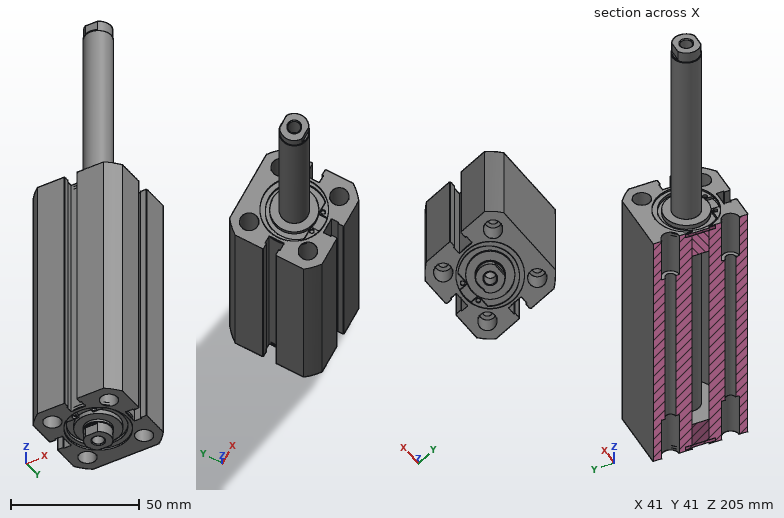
import cadquery as cq
import math

width = 41.0
housing_length = 113.0
corner_radius = 25.5
bore_radius = 13.4

hole_spacing = 26.0
hole_radius = 2.2
counterbore_radius = 3.75
counterbore_depth = 20.0

slot_mouth_width = 5.5
slot_chamfer = 0.3
slot_inner_width = 6.6
slot_lip = 2.7
groove_radius = 14.4
side_slot_floor = 14.5
front_slot_floor = 14.7

groove_offset = 0.8
ring_thickness = 1.2
ring_inner_radius = 12.05
ring_inner_shift = 0.85
lug_edge = 9.1
opening_width = 6.5
lug_hole_x = 4.6
lug_hole_y = 10.3
lug_hole_radius = 0.9

cover_thickness = 13.0
boss_radius = 9.6

rod_radius = 6.0
lower_reach = 6.0
upper_reach = 86.0
neck_radius = 5.75
neck_length = 4.7
flats_length = 4.2
flats_width = 10.0
tapped_radius = 2.5
countersink_radius = 2.9
tapped_depth = 12.0
drill_tip_angle = 118.0

cover_seat = groove_offset + ring_thickness
rod_length = lower_reach + housing_length + upper_reach


def disc(radius, base, height):
    return cq.Workplane("XY").workplane(offset=base).circle(radius).extrude(height)


def other_end(body, length):
    """The mirror image of a feature or body, at the far end of a part that starts at Z = 0."""
    return body.mirror("XY").translate((0, 0, length))


def slot(floor):
    """Cutter for a full-length slot open toward -Y, with a lip on each side of its mouth."""
    edge = -width / 2
    lip_end = edge + slot_lip
    mouth = slot_mouth_width / 2
    inner = slot_inner_width / 2
    half_profile = [
        (0, edge),
        (mouth + slot_chamfer, edge),
        (mouth, edge + slot_chamfer),
        (mouth, lip_end),
        (inner, lip_end),
        (inner, -floor),
        (0, -floor),
    ]
    return cq.Workplane("XY").polyline(half_profile).mirrorY().extrude(housing_length)


def make_housing():
    body = cq.Workplane("XY").rect(width, width).extrude(housing_length)
    body = body.intersect(disc(corner_radius, 0, housing_length))
    body = body.cut(disc(bore_radius, 0, housing_length))

    groove = disc(groove_radius, groove_offset, ring_thickness)
    body = body.cut(groove).cut(other_end(groove, housing_length))

    body = body.cut(slot(front_slot_floor))
    for angle in (-90, 90):
        body = body.cut(slot(side_slot_floor).rotate((0, 0, 0), (0, 0, 1), angle))

    hole_centres = cq.Workplane("XY").rect(hole_spacing, hole_spacing, forConstruction=True).vertices()
    body = body.cut(hole_centres.circle(hole_radius).extrude(housing_length))
    counterbores = hole_centres.circle(counterbore_radius).extrude(counterbore_depth)
    return body.cut(counterbores).cut(other_end(counterbores, housing_length))


def make_cover():
    """A disc behind the retaining ring, with a boss flush with the end face of the housing."""
    body = disc(bore_radius, cover_seat, cover_thickness - cover_seat)
    body = body.union(disc(boss_radius, 0, cover_seat))
    return body.cut(disc(rod_radius, 0, cover_thickness))


def make_ring():
    """An internal retaining ring with its opening and lugs toward -Y."""
    opening_inside = disc(ring_inner_radius, groove_offset, ring_thickness).translate((0, -ring_inner_shift, 0))
    above_lugs = (
        cq.Workplane("XY", origin=(0, -lug_edge, groove_offset))
        .box(width, width, ring_thickness, centered=(True, False, False))
    )
    gap = (
        cq.Workplane("XY", origin=(0, -width, groove_offset))
        .box(opening_width, width, ring_thickness, centered=(True, False, False))
    )
    body = disc(groove_radius, groove_offset, ring_thickness)
    body = body.cut(opening_inside.intersect(above_lugs))
    body = body.cut(gap)
    lug_holes = (
        cq.Workplane("XY", origin=(0, 0, groove_offset))
        .pushPoints([(-lug_hole_x, -lug_hole_y), (lug_hole_x, -lug_hole_y)])
        .circle(lug_hole_radius)
        .extrude(ring_thickness)
    )
    return body.cut(lug_holes)


def flats_cutter():
    """Material beside the two wrench flats at one rod end, which face -Y and +Y."""
    between_flats = cq.Workplane("XY").rect(width, flats_width).extrude(flats_length)
    return disc(rod_radius, 0, flats_length).cut(between_flats)


def tapped_hole():
    """A countersunk blind hole on the rod axis with a drilled conical bottom."""
    countersink_depth = countersink_radius - tapped_radius
    tip_height = tapped_radius / math.tan(math.radians(drill_tip_angle / 2))
    half_profile = [
        (0, 0),
        (countersink_radius, 0),
        (tapped_radius, countersink_depth),
        (tapped_radius, tapped_depth),
        (0, tapped_depth + tip_height),
    ]
    return cq.Workplane("XZ").polyline(half_profile).close().revolve(360, (0, 0), (0, 1))


def make_rod():
    shoulders = disc(rod_radius, neck_length, rod_length - 2 * neck_length)
    shoulders = shoulders.faces("<Z or >Z").chamfer(rod_radius - neck_radius)
    body = disc(neck_radius, 0, rod_length).union(shoulders)
    body = body.cut(flats_cutter()).cut(other_end(flats_cutter(), rod_length))
    body = body.cut(tapped_hole()).cut(other_end(tapped_hole(), rod_length))
    return body.translate((0, 0, -lower_reach))


housing = make_housing()
rod = make_rod()
lower_cover = make_cover()
upper_cover = other_end(lower_cover, housing_length)
lower_ring = make_ring()
upper_ring = other_end(lower_ring, housing_length)

result = cq.Compound.makeCompound([
    housing.val(),
    rod.val(),
    lower_cover.val(),
    upper_cover.val(),
    lower_ring.val(),
    upper_ring.val(),
])